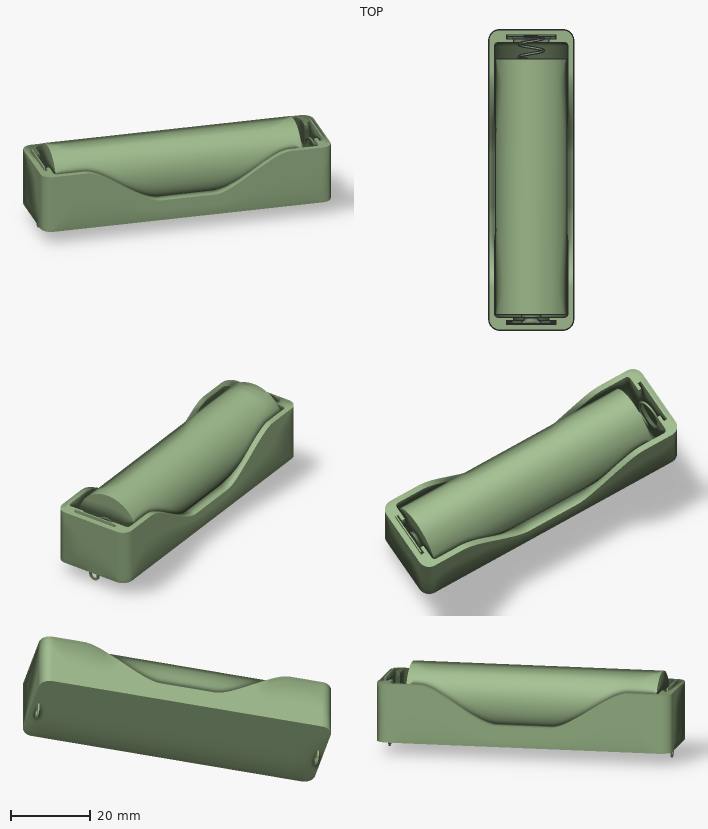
import cadquery as cq
import math

HOLDER_LENGTH = 75.9
HOLDER_WIDTH = 21.5
HOLDER_HEIGHT = 15.0
CORNER_RADIUS = 2.8
POCKET_LENGTH = 69.3
POCKET_RADIUS = 9.25
POCKET_END_FILLET = 0.9

CUTOUT_TOP_LENGTH = 53.7
CUTOUT_FLOOR_LENGTH = 13.8
CUTOUT_DEPTH = 9.6
CUTOUT_CURVE_HANDLE = 5.3

BATTERY_RADIUS = 9.0
BATTERY_AXIS_Z = 10.0
BATTERY_NEGATIVE_Y = 30.5
BATTERY_LENGTH = 64.4
NUB_RADIUS = 2.5
NUB_LENGTH = 0.75
BATTERY_POSITIVE_Y = BATTERY_NEGATIVE_Y - BATTERY_LENGTH

SLOT_OUTER_Y = 36.5
SLOT_THICKNESS = 1.0
SLOT_INNER_Y = SLOT_OUTER_Y - SLOT_THICKNESS
SLOT_WIDTH = 12.6
SLOT_FLOOR_Z = BATTERY_AXIS_Z - POCKET_RADIUS
WINDOW_RADIUS = 4.5
LUG_HOLE_WIDTH = 3.65
LUG_HOLE_THICKNESS = 0.45

PLATE_WIDTH = 12.15
PLATE_THICKNESS = 0.3
PLATE_TOP_Z = HOLDER_HEIGHT + 0.9
PLATE_INNER_Y = SLOT_OUTER_Y - PLATE_THICKNESS
LUG_WIDTH = 3.0
LUG_CENTRE_Z = -1.5
LUG_EYE_DIAMETER = 1.6
BARB_WIDTH = 1.2
BARB_RISE = 1.0
BARB_EDGE_HEIGHT = 0.4
BARB_TOP_Z = BATTERY_AXIS_Z

WIRE_RADIUS = 0.265
COIL_RADIUS = 3.0
COIL_PITCH = 3.1
COIL_START_TURN = -0.16
COIL_TURNS = 1.85
COIL_START_Y = SLOT_OUTER_Y - WIRE_RADIUS
CONE_BASE_RADIUS = 2.65
CONE_TIP_RADIUS = 1.5
CONE_HEIGHT = 1.4


def block(width, y_range, z_range):
    """Box centred on X between the given Y and Z limits."""
    y_low, y_high = y_range
    z_low, z_high = z_range
    size = (width, y_high - y_low, z_high - z_low)
    return cq.Workplane("XY").box(*size, centered=(True, False, False)).translate((0, y_low, z_low))


def axial_plane(y):
    """Plane across the battery axis at the given Y, facing -Y, with local X and Y along X and Z."""
    return cq.Workplane("XZ", origin=(0, y, BATTERY_AXIS_Z))


def trough(radius, y_range):
    """Round-bottomed channel about the battery axis, open at the top of the holder."""
    y_low, y_high = y_range
    round_floor = axial_plane(y_high).circle(radius).extrude(y_high - y_low)
    upper = block(2 * radius, y_range, (BATTERY_AXIS_Z, HOLDER_HEIGHT))
    below_rim = block(2 * radius, y_range, (0, HOLDER_HEIGHT))
    return round_floor.union(upper).intersect(below_rim)


def make_pocket():
    half_length = POCKET_LENGTH / 2
    pocket = trough(POCKET_RADIUS, (-half_length, half_length))
    end_edges = pocket.faces("<Y or >Y").edges("not >Z")
    return pocket.newObject(end_edges.vals()).fillet(POCKET_END_FILLET)


def make_finger_cutout():
    """Cutout through both long walls, with S-curved ends that are level at top and bottom."""
    half_top = CUTOUT_TOP_LENGTH / 2
    half_floor = CUTOUT_FLOOR_LENGTH / 2
    floor_z = HOLDER_HEIGHT - CUTOUT_DEPTH
    handle = CUTOUT_CURVE_HANDLE
    descent = [
        (-half_top, HOLDER_HEIGHT),
        (-half_top + handle, HOLDER_HEIGHT),
        (-half_floor - handle, floor_z),
        (-half_floor, floor_z),
    ]
    ascent = [(-y, z) for y, z in reversed(descent)]
    profile = (
        cq.Workplane("YZ", origin=(-HOLDER_WIDTH / 2, 0, 0))
        .moveTo(*descent[0])
        .bezier(descent[1:], includeCurrent=True)
        .lineTo(*ascent[0])
        .bezier(ascent[1:], includeCurrent=True)
        .close()
    )
    return profile.extrude(HOLDER_WIDTH)


def make_contact_slot():
    """Slot, window into the pocket and lug hole of the +Y end wall."""
    slot = block(SLOT_WIDTH, (SLOT_INNER_Y, SLOT_OUTER_Y), (SLOT_FLOOR_Z, HOLDER_HEIGHT))
    window = trough(WINDOW_RADIUS, (POCKET_LENGTH / 2 - POCKET_END_FILLET, SLOT_OUTER_Y))
    lug_hole = block(LUG_HOLE_WIDTH, (SLOT_OUTER_Y - LUG_HOLE_THICKNESS, SLOT_OUTER_Y), (0, SLOT_FLOOR_Z))
    return slot.union(window).union(lug_hole)


def make_holder():
    body = block(HOLDER_WIDTH, (-HOLDER_LENGTH / 2, HOLDER_LENGTH / 2), (0, HOLDER_HEIGHT))
    body = body.edges("|Z").fillet(CORNER_RADIUS)
    slot = make_contact_slot()
    return body.cut(make_pocket()).cut(make_finger_cutout()).cut(slot).cut(slot.mirror("XZ"))


def make_battery():
    cell = axial_plane(BATTERY_NEGATIVE_Y).circle(BATTERY_RADIUS).extrude(BATTERY_LENGTH)
    nub = axial_plane(BATTERY_POSITIVE_Y).circle(NUB_RADIUS).extrude(NUB_LENGTH)
    return cell.union(nub)


def make_barb(side):
    """Strip that rises from the plate to the inner slot wall, at the plate edge on the given side."""
    foot_z = BARB_TOP_Z - BARB_RISE
    strip = (
        cq.Workplane("YZ", origin=(-BARB_WIDTH / 2, 0, 0))
        .moveTo(PLATE_INNER_Y, foot_z)
        .lineTo(SLOT_INNER_Y, BARB_TOP_Z)
        .lineTo(SLOT_INNER_Y, BARB_TOP_Z - BARB_EDGE_HEIGHT)
        .lineTo(PLATE_INNER_Y, foot_z - BARB_EDGE_HEIGHT)
        .close()
        .extrude(BARB_WIDTH)
    )
    return strip.translate((side * (PLATE_WIDTH - BARB_WIDTH) / 2, 0, 0))


def make_contact_plate():
    """Plate of the +Y end with its barbs and the eyed solder lug below the holder."""
    y_range = (PLATE_INNER_Y, SLOT_OUTER_Y)
    plate = block(PLATE_WIDTH, y_range, (SLOT_FLOOR_Z, PLATE_TOP_Z))
    lug_shank = block(LUG_WIDTH, y_range, (LUG_CENTRE_Z, SLOT_FLOOR_Z))
    lug_plane = cq.Workplane("XZ", origin=(0, SLOT_OUTER_Y, LUG_CENTRE_Z))
    lug_end = lug_plane.circle(LUG_WIDTH / 2).extrude(PLATE_THICKNESS)
    eye = lug_plane.circle(LUG_EYE_DIAMETER / 2).extrude(PLATE_THICKNESS)
    plate = plate.union(lug_shank).union(lug_end).cut(eye)
    for side in (-1, 1):
        plate = plate.union(make_barb(side))
    return plate


def make_spring():
    """Coil about the battery axis, ground flat against the battery end."""
    path = cq.Wire.makeHelix(COIL_PITCH, COIL_PITCH * COIL_TURNS, COIL_RADIUS)
    rise_per_radian = COIL_PITCH / (2 * math.pi)
    section_plane = cq.Plane(
        origin=(COIL_RADIUS, 0, 0), xDir=(1, 0, 0), normal=(0, COIL_RADIUS, rise_per_radian)
    )
    coil = cq.Workplane(section_plane).circle(WIRE_RADIUS).sweep(cq.Workplane(path), isFrenet=True)
    coil = coil.rotate((0, 0, 0), (0, 0, 1), 360 * COIL_START_TURN)
    placed = coil.val().moved(axial_plane(COIL_START_Y).plane.location)
    reach = COIL_RADIUS + 2 * WIRE_RADIUS
    z_range = (BATTERY_AXIS_Z - reach, BATTERY_AXIS_Z + reach)
    return cq.Workplane(placed).intersect(block(2 * reach, (BATTERY_NEGATIVE_Y, SLOT_OUTER_Y), z_range))


def make_spring_contact():
    return make_contact_plate().union(make_spring())


def make_cone_contact():
    """Contact of the -Y end, with a solid cone that faces the battery nub."""
    cone = cq.Solid.makeCone(
        CONE_BASE_RADIUS, CONE_TIP_RADIUS, CONE_HEIGHT,
        pnt=cq.Vector(0, -PLATE_INNER_Y, BATTERY_AXIS_Z), dir=cq.Vector(0, 1, 0),
    )
    return make_contact_plate().mirror("XZ").union(cq.Workplane(cone))


holder = make_holder()
battery = make_battery()
spring_contact = make_spring_contact()
cone_contact = make_cone_contact()

bodies = [holder, battery, spring_contact, cone_contact]
result = cq.Compound.makeCompound([body.solids().val() for body in bodies])